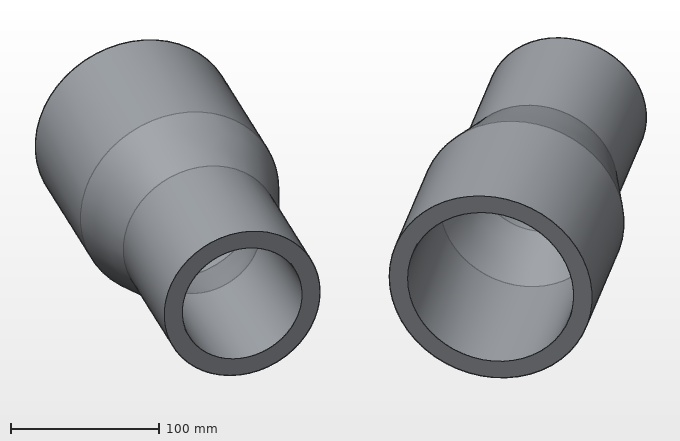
import cadquery as cq

total_length = 250.0
large_length = 105.0
taper_length = 50.0
large_outer_diameter = 140.0
large_bore_diameter = 114.5
small_outer_diameter = 110.0
small_bore_diameter = 84.5

taper_end = large_length + taper_length


def stepped_solid(large_diameter, small_diameter):
    """Solid of revolution: large cylinder, cone, small cylinder."""
    large_radius = large_diameter / 2
    small_radius = small_diameter / 2
    return (
        cq.Workplane("XY")
        .moveTo(0, 0)
        .lineTo(0, large_radius)
        .lineTo(large_length, large_radius)
        .lineTo(taper_end, small_radius)
        .lineTo(total_length, small_radius)
        .lineTo(total_length, 0)
        .close()
        .revolve(360, (0, 0, 0), (1, 0, 0))
    )


body = stepped_solid(large_outer_diameter, small_outer_diameter)
bore = stepped_solid(large_bore_diameter, small_bore_diameter)

result = body.cut(bore)